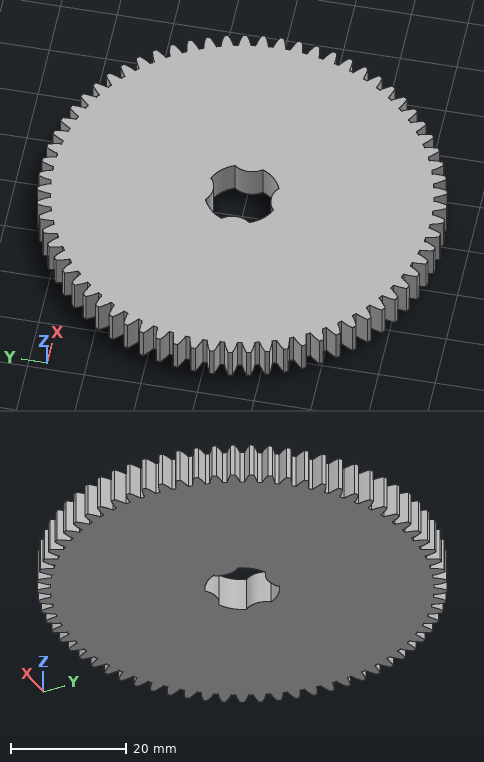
import cadquery as cq
import math

tooth_count = 69
pressure_angle = math.radians(20)
addendum_factor = 1.0
dedendum_factor = 1.25
flank_points = 5

tip_diameter = 71.0
thickness = 6.25

module = tip_diameter / (tooth_count + 2 * addendum_factor)
tip_radius = tip_diameter / 2
pitch_radius = module * tooth_count / 2
root_radius = pitch_radius - dedendum_factor * module
base_radius = pitch_radius * math.cos(pressure_angle)
tooth_pitch = 2 * math.pi / tooth_count

bore_radius = 6.45
lobe_radius = 3.9
lobe_centre_radius = 9.0
lobe_count = 4


def polar(radius, angle):
    return (radius * math.cos(angle), radius * math.sin(angle))


def involute(angle):
    return math.tan(angle) - angle


def half_tooth_angle(radius):
    """Angle from the tooth centreline to its involute flank at a given radius."""
    flank_pressure_angle = math.acos(base_radius / radius)
    return tooth_pitch / 4 + involute(pressure_angle) - involute(flank_pressure_angle)


def gear_outline():
    radii = [
        root_radius + (tip_radius - root_radius) * i / (flank_points - 1)
        for i in range(flank_points)
    ]
    root_half_angle = half_tooth_angle(root_radius)
    outline = cq.Workplane("XY").moveTo(*polar(root_radius, -root_half_angle))
    for tooth in range(tooth_count):
        centre = tooth * tooth_pitch
        rising_flank = [polar(r, centre - half_tooth_angle(r)) for r in radii]
        falling_flank = [polar(r, centre + half_tooth_angle(r)) for r in reversed(radii)]
        gap_middle = polar(root_radius, centre + tooth_pitch / 2)
        next_tooth_root = polar(root_radius, centre + tooth_pitch - root_half_angle)

        outline = outline.spline(rising_flank[1:], includeCurrent=True)
        outline = outline.threePointArc(polar(tip_radius, centre), falling_flank[0])
        outline = outline.spline(falling_flank[1:], includeCurrent=True)
        outline = outline.threePointArc(gap_middle, next_tooth_root)
    return outline.close()


def lobed_bore():
    bore = cq.Workplane("XY").circle(bore_radius).extrude(thickness)
    lobes = (
        cq.Workplane("XY")
        .polarArray(lobe_centre_radius, 0, 360, lobe_count)
        .circle(lobe_radius)
        .extrude(thickness)
    )
    return bore.cut(lobes)


result = gear_outline().extrude(thickness).cut(lobed_bore())